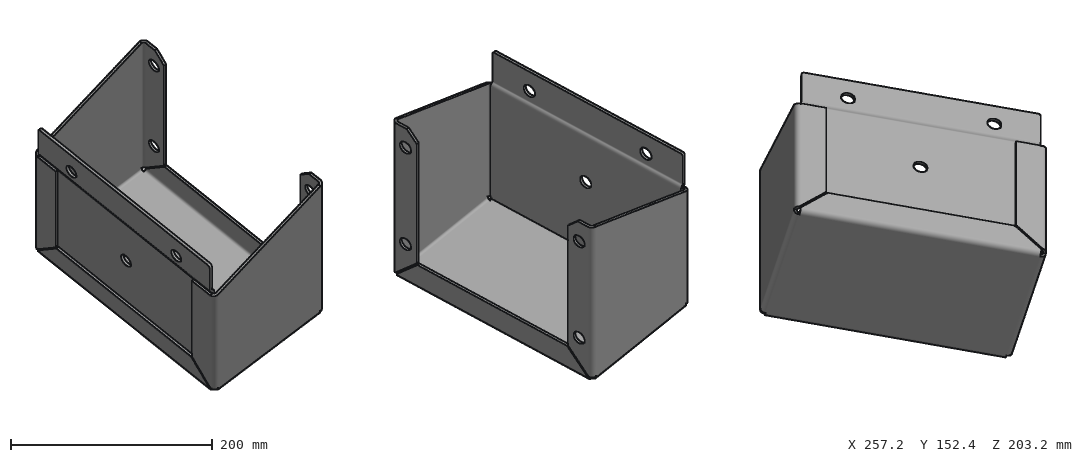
import cadquery as cq
import math

WIDTH = 257.18
DEPTH = 152.4
HEIGHT = 203.2

SHEET = 3.04
BEND_OUTER = 5.9
BEND_INNER = BEND_OUTER - SHEET
FLANGE = 31.75
MITER_GAP = 1.5
FRONT_HEIGHT = 152.4
REAR_CHAMFER = 12.7

PANEL_SHEET = 3.4
PANEL_WIDTH = 244.0
PANEL_BOTTOM = 6.35
PANEL_TOP = 197.2
LIP_BOTTOM = 158.8
JOGGLE_HEIGHT = 6.0
LIP_CORNER_RADIUS = 3.0

HOLE_DIAMETER = 14.29
LIP_HOLE_SPACING = 149.2
LIP_HOLE_Z = 171.8
CENTRE_HOLE_Z = 95.25
REAR_HOLE_INSET = (FLANGE + SHEET) / 2
REAR_HOLES_Z = (50.8, 177.8)

SIDES = (-1, 1)
FRONT_Y = -DEPTH / 2
REAR_Y = DEPTH / 2


def block(x_range, y_range, z_range):
    """Box between the given limits."""
    size = [high - low for low, high in (x_range, y_range, z_range)]
    corner = cq.Vector(x_range[0], y_range[0], z_range[0])
    return cq.Workplane(cq.Solid.makeBox(*size, corner))


def hole_cutters(points, y_start):
    """Round cutters along +Y at (x, z) points, from y_start through one wall."""
    length = SHEET + PANEL_SHEET
    return (
        cq.Workplane("XZ", origin=(0, y_start, 0))
        .pushPoints(points)
        .circle(HOLE_DIAMETER / 2)
        .extrude(-length)
    )


def bent_shell():
    """Folded walls: rounded outer box less a rounded inner box that is open at the top."""
    outer = block((-WIDTH / 2, WIDTH / 2), (FRONT_Y, REAR_Y), (0, HEIGHT))
    outer = outer.edges("|Z or <Z").fillet(BEND_OUTER)
    inner = block(
        (-WIDTH / 2 + SHEET, WIDTH / 2 - SHEET),
        (FRONT_Y + SHEET, REAR_Y - SHEET),
        (SHEET, HEIGHT + SHEET),
    )
    inner = inner.edges("|Z or <Z").fillet(BEND_INNER)
    return outer.cut(inner)


def corner_reliefs():
    """Cubes that open the four bottom corners where three bends meet."""
    reliefs = cq.Workplane()
    for x_side in SIDES:
        for y_side in SIDES:
            centre_x = x_side * (WIDTH - BEND_OUTER) / 2
            centre_y = y_side * (DEPTH - BEND_OUTER) / 2
            half = BEND_OUTER / 2
            reliefs = reliefs.add(
                block(
                    (centre_x - half, centre_x + half),
                    (centre_y - half, centre_y + half),
                    (0, BEND_OUTER),
                )
            )
    return reliefs.combine()


def flange_window():
    """Opening through the front and rear walls that leaves flanges of even width."""
    half = WIDTH / 2 - FLANGE
    return block((-half, half), (FRONT_Y, REAR_Y), (FLANGE, HEIGHT))


def miter_slots():
    """Narrow 45 degree slots between the side flanges and the bottom flanges."""
    run = FLANGE - BEND_OUTER
    length = math.sqrt(2) * run + 2 * MITER_GAP
    middle = (FLANGE + BEND_OUTER) / 2
    slots = cq.Workplane()
    for side in SIDES:
        slot = cq.Workplane("XY").box(length, DEPTH, MITER_GAP)
        slot = slot.rotate((0, 0, 0), (0, 1, 0), side * 45)
        slots = slots.add(slot.translate((side * (WIDTH / 2 - middle), 0, middle)))
    return slots.combine()


def sloped_top():
    """Space above the sides and front: a slope from the rear bend, level at the front flanges."""
    slope = (
        cq.Workplane("YZ", origin=(-WIDTH / 2, 0, 0))
        .moveTo(REAR_Y - BEND_OUTER, HEIGHT)
        .lineTo(FRONT_Y, FRONT_HEIGHT)
        .lineTo(FRONT_Y, HEIGHT)
        .close()
        .extrude(WIDTH)
    )
    half = WIDTH / 2 - BEND_OUTER
    level = block((-half, half), (FRONT_Y, FRONT_Y + SHEET), (FRONT_HEIGHT, HEIGHT))
    return slope.union(level)


def rear_chamfers():
    """Triangles that cut the upper inner corners of the two rear flanges."""
    inner_x = WIDTH / 2 - FLANGE
    cutters = cq.Workplane()
    for side in SIDES:
        cutters = cutters.add(
            cq.Workplane("XZ", origin=(0, REAR_Y, 0))
            .moveTo(side * inner_x, HEIGHT)
            .lineTo(side * (inner_x + REAR_CHAMFER), HEIGHT)
            .lineTo(side * inner_x, HEIGHT - REAR_CHAMFER)
            .close()
            .extrude(SHEET)
        )
    return cutters.combine()


def make_tray():
    """Tray with bottom, two sloped sides, and mitered flanges at front and rear."""
    rear_holes = [
        (side * (WIDTH / 2 - REAR_HOLE_INSET), z) for side in SIDES for z in REAR_HOLES_Z
    ]
    tray = bent_shell().cut(flange_window()).cut(corner_reliefs())
    tray = tray.cut(miter_slots()).cut(sloped_top()).cut(rear_chamfers())
    return tray.cut(hole_cutters(rear_holes, REAR_Y - SHEET))


def make_panel():
    """Flat panel behind the front flanges, with its upper lip set forward by one sheet."""
    bend_angle = 2 * math.atan(SHEET / JOGGLE_HEIGHT)
    radius_sum = JOGGLE_HEIGHT / math.sin(bend_angle)
    small_radius = (radius_sum - PANEL_SHEET) / 2
    large_radius = small_radius + PANEL_SHEET

    lip_front = FRONT_Y
    lip_back = lip_front + PANEL_SHEET
    web_front = FRONT_Y + SHEET
    web_back = web_front + PANEL_SHEET
    web_top = LIP_BOTTOM - JOGGLE_HEIGHT

    upper_y = lip_front + large_radius
    lower_y = web_front - small_radius

    def on_upper(radius, angle):
        return (upper_y - radius * math.cos(angle), LIP_BOTTOM - radius * math.sin(angle))

    def on_lower(radius, angle):
        return (lower_y + radius * math.cos(angle), web_top + radius * math.sin(angle))

    half_angle = bend_angle / 2
    panel = (
        cq.Workplane("YZ", origin=(-PANEL_WIDTH / 2, 0, 0))
        .moveTo(web_front, PANEL_BOTTOM)
        .lineTo(web_front, web_top)
        .threePointArc(on_lower(small_radius, half_angle), on_lower(small_radius, bend_angle))
        .threePointArc(on_upper(large_radius, half_angle), (lip_front, LIP_BOTTOM))
        .lineTo(lip_front, PANEL_TOP)
        .lineTo(lip_back, PANEL_TOP)
        .lineTo(lip_back, LIP_BOTTOM)
        .threePointArc(on_upper(small_radius, half_angle), on_upper(small_radius, bend_angle))
        .threePointArc(on_lower(large_radius, half_angle), (web_back, web_top))
        .lineTo(web_back, PANEL_BOTTOM)
        .close()
        .extrude(PANEL_WIDTH)
    )
    lip_corners = cq.selectors.BoxSelector(
        (-WIDTH, FRONT_Y - SHEET, PANEL_TOP - SHEET / 2),
        (WIDTH, 0, PANEL_TOP + SHEET / 2),
    )
    panel = panel.edges("|Y").edges(lip_corners).fillet(LIP_CORNER_RADIUS)
    holes = [(side * LIP_HOLE_SPACING / 2, LIP_HOLE_Z) for side in SIDES]
    holes.append((0, CENTRE_HOLE_Z))
    return panel.cut(hole_cutters(holes, FRONT_Y))


tray = make_tray()
panel = make_panel()
result = cq.Compound.makeCompound([tray.val(), panel.val()])